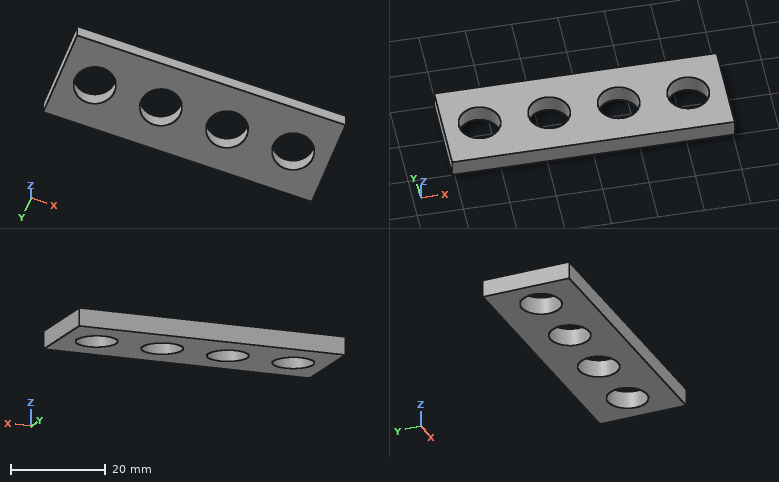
import cadquery as cq

length = 60.95
width = 20.05
thickness = 4.0

hole_count = 4
hole_diameter = 8.9
hole_pitch = 15.0
first_hole_from_end = 7.85

plate = cq.Workplane("XY").box(length, width, thickness)

first_hole_x = first_hole_from_end - length / 2
hole_centres = [(first_hole_x + i * hole_pitch, 0) for i in range(hole_count)]

result = plate.faces(">Z").workplane().pushPoints(hole_centres).hole(hole_diameter)